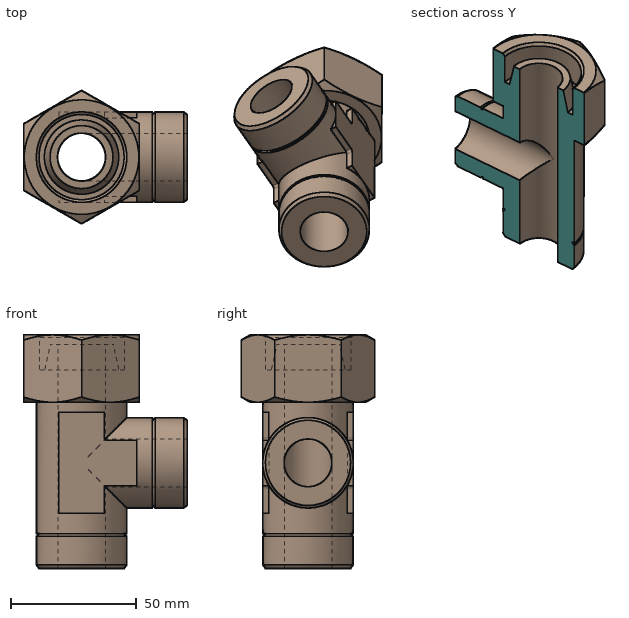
import cadquery as cq
import math

body_diameter = 36.0
bore_diameter = 19.0
end_reach = 42.0
overall_height = 93.0

root_diameter = 33.85
groove_position = 28.2
lead_in_length = 1.5

pad_half_width = 9.0
pad_half_height = 20.1
pad_reach = 21.9
pad_corner_radius = 0.9

nut_across_corners = 53.1
nut_height = 27.0
nut_rim_diameter = 45.6
nut_chamfer_angle = 30.0

nose_recess = 3.9
nose_tip_diameter = 25.0
nose_base_diameter = 29.6
socket_depth = 14.0

body_radius = body_diameter / 2
root_radius = root_diameter / 2
bore_radius = bore_diameter / 2
thread_depth = body_radius - root_radius
nut_top = overall_height - end_reach
nut_bottom = nut_top - nut_height
nose_tip = nut_top - nose_recess
socket_floor = nut_top - socket_depth


def tee_arm():
    """Solid arm along +Z from the crossing out to a threaded end."""
    profile = [
        (0, 0),
        (body_radius, 0),
        (body_radius, groove_position),
        (root_radius, groove_position),
        (body_radius, groove_position + thread_depth),
        (body_radius, end_reach - lead_in_length),
        (root_radius, end_reach),
        (0, end_reach),
    ]
    return cq.Workplane("XZ").polyline(profile).close().revolve(360, (0, 0), (0, 1))


def wrench_pads():
    """T-shaped slab whose two faces are tangent to the body."""
    slab_thickness = body_diameter
    upright = cq.Workplane("XZ").rect(2 * pad_half_width, 2 * pad_half_height)
    upright = upright.extrude(slab_thickness / 2, both=True)
    arm = cq.Workplane("XZ").center(pad_reach / 2, 0).rect(pad_reach, 2 * pad_half_width)
    arm = arm.extrude(slab_thickness / 2, both=True)
    inner_corners = cq.selectors.BoxSelector(
        (pad_half_width - pad_corner_radius, -body_diameter, -pad_half_width - pad_corner_radius),
        (pad_half_width + pad_corner_radius, body_diameter, pad_half_width + pad_corner_radius),
    )
    return upright.union(arm).edges("|Y").edges(inner_corners).fillet(pad_corner_radius)


def nut():
    """Hexagon with corners on the Y axis and both ends turned conical."""
    corner_radius = nut_across_corners / 2
    rim_radius = nut_rim_diameter / 2
    corner_drop = (corner_radius - rim_radius) * math.tan(math.radians(nut_chamfer_angle))
    hexagon = cq.Workplane("XY").workplane(offset=nut_bottom).polygon(6, nut_across_corners)
    hexagon = hexagon.extrude(nut_height).rotate((0, 0, 0), (0, 0, 1), 90)
    envelope = [
        (0, nut_bottom),
        (rim_radius, nut_bottom),
        (corner_radius, nut_bottom + corner_drop),
        (corner_radius, nut_top - corner_drop),
        (rim_radius, nut_top),
        (0, nut_top),
    ]
    turned = cq.Workplane("XZ").polyline(envelope).close().revolve(360, (0, 0), (0, 1))
    return hexagon.intersect(turned)


def nut_socket():
    """Ring-shaped cavity between the nut thread and the sealing cone."""
    profile = [
        (0, nut_top),
        (body_radius, nut_top),
        (root_radius, nut_top - thread_depth),
        (root_radius, socket_floor),
        (nose_base_diameter / 2, socket_floor),
        (nose_tip_diameter / 2, nose_tip),
        (0, nose_tip),
    ]
    return cq.Workplane("XZ").polyline(profile).close().revolve(360, (0, 0), (0, 1))


lower_arm = tee_arm().rotate((0, 0, 0), (1, 0, 0), 180)
branch_arm = tee_arm().rotate((0, 0, 0), (0, 1, 0), 90)
upper_arm = cq.Workplane("XY").circle(body_radius).extrude(nut_bottom)

run_bore = cq.Workplane("XY").workplane(offset=-end_reach).circle(bore_radius).extrude(overall_height)
branch_bore = cq.Workplane("YZ").circle(bore_radius).extrude(end_reach)

tee = lower_arm.union(branch_arm).union(upper_arm).union(wrench_pads())
result = tee.union(nut()).cut(nut_socket()).cut(run_bore).cut(branch_bore)